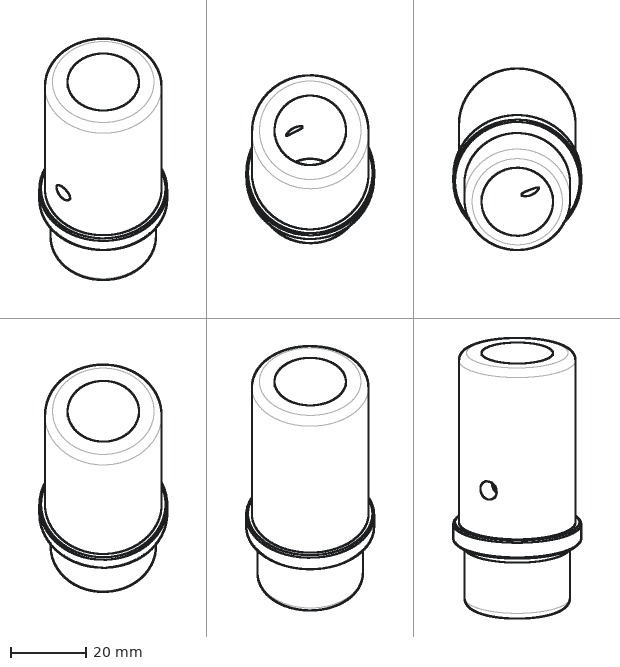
import cadquery as cq

total_height = 70.0
body_diameter = 31.0
bore_diameter = 19.0
end_fillet = 2.0

collar_diameter = 34.0
collar_bottom = 18.0
collar_height = 5.05
collar_chamfer = 0.5

spigot_diameter = 28.1
relief_height = 1.9
relief_depth = 1.0

cross_hole_diameter = 5.0
cross_hole_height = 36.0

collar_top = collar_bottom + collar_height
relief_bottom = collar_bottom - relief_height


def make_spigot():
    spigot = cq.Workplane("XY").circle(spigot_diameter / 2).extrude(relief_bottom)
    return spigot.faces("<Z").edges().fillet(end_fillet)


def make_relief():
    lower_radius = spigot_diameter / 2
    upper_radius = lower_radius - relief_depth
    profile = (
        cq.Workplane("XZ")
        .moveTo(0, relief_bottom)
        .lineTo(lower_radius, relief_bottom)
        .lineTo(upper_radius, collar_bottom)
        .lineTo(0, collar_bottom)
        .close()
    )
    return profile.revolve(360, (0, 0, 0), (0, 1, 0))


def make_collar():
    collar = (
        cq.Workplane("XY")
        .workplane(offset=collar_bottom)
        .circle(collar_diameter / 2)
        .extrude(collar_height)
    )
    return collar.edges().chamfer(collar_chamfer)


def make_body():
    body = (
        cq.Workplane("XY")
        .workplane(offset=collar_top)
        .circle(body_diameter / 2)
        .extrude(total_height - collar_top)
    )
    return body.faces(">Z").edges().fillet(end_fillet)


def make_bore():
    return cq.Workplane("XY").circle(bore_diameter / 2).extrude(total_height)


def make_cross_hole():
    return (
        cq.Workplane("XZ")
        .center(0, cross_hole_height)
        .circle(cross_hole_diameter / 2)
        .extrude(body_diameter / 2)
    )


sleeve = make_spigot().union(make_relief()).union(make_collar()).union(make_body())
result = sleeve.cut(make_bore()).cut(make_cross_hole())